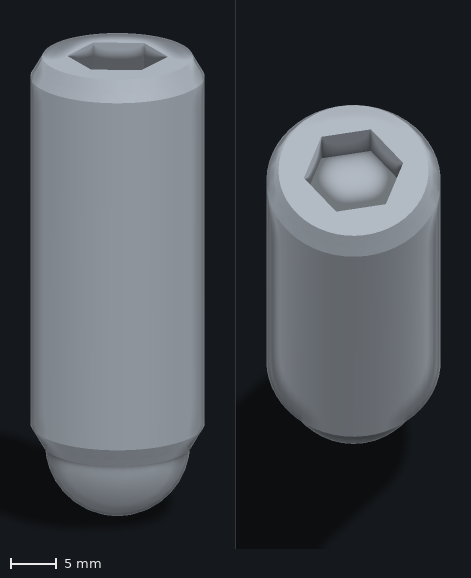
import cadquery as cq
import math

body_diameter = 19.05
body_length = 44.45
ball_diameter = 15.875

end_face_diameter = 16.4
chamfer_angle = 30.0
chamfer_radial = (body_diameter - end_face_diameter) / 2
chamfer_axial = chamfer_radial / math.tan(math.radians(chamfer_angle))

socket_sides = 6
socket_across_flats = 9.525
socket_depth = socket_across_flats / 2
socket_across_corners = socket_across_flats / math.cos(math.pi / socket_sides)


def make_screw():
    """Revolve the chamfered body and its hemispherical tip as one profile."""
    body_radius = body_diameter / 2
    end_radius = end_face_diameter / 2
    ball_radius = ball_diameter / 2
    arc_offset = ball_radius * math.sqrt(0.5)
    return (
        cq.Workplane("XZ")
        .moveTo(0, -ball_radius)
        .threePointArc((arc_offset, -arc_offset), (ball_radius, 0))
        .lineTo(end_radius, 0)
        .lineTo(body_radius, chamfer_axial)
        .lineTo(body_radius, body_length - chamfer_axial)
        .lineTo(end_radius, body_length)
        .lineTo(0, body_length)
        .close()
        .revolve(360, (0, 0, 0), (0, 1, 0))
    )


def make_socket():
    """Hexagonal prism cut down from the top face."""
    return (
        cq.Workplane("XY")
        .workplane(offset=body_length - socket_depth)
        .polygon(socket_sides, socket_across_corners)
        .extrude(socket_depth)
    )


result = make_screw().cut(make_socket())